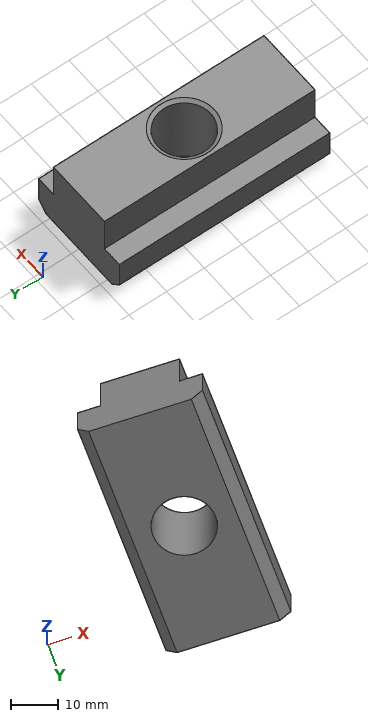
import cadquery as cq

length = 56.0
base_width = 28.0
height = 20.0

neck_width = 17.7
base_height = height / 2
base_chamfer = 2.5

hole_diameter = 14.0
countersink_diameter = 16.0
countersink_angle = 120.0


def tee_body():
    """T-slot nut body along Y, centred in X and Y and standing on Z = 0."""
    block_centering = (True, True, False)
    base = cq.Workplane("XY").box(base_width, length, base_height, centered=block_centering)
    base = base.faces("<Z").edges("|Y").chamfer(base_chamfer)
    neck = cq.Workplane("XY").box(neck_width, length, height, centered=block_centering)
    return base.union(neck)


def drill_hole(body):
    """Cut the central through hole and countersink its upper rim."""
    top_face = body.faces(">Z").workplane(origin=(0, 0, height))
    return top_face.cskHole(hole_diameter, countersink_diameter, countersink_angle)


result = drill_hole(tee_body())